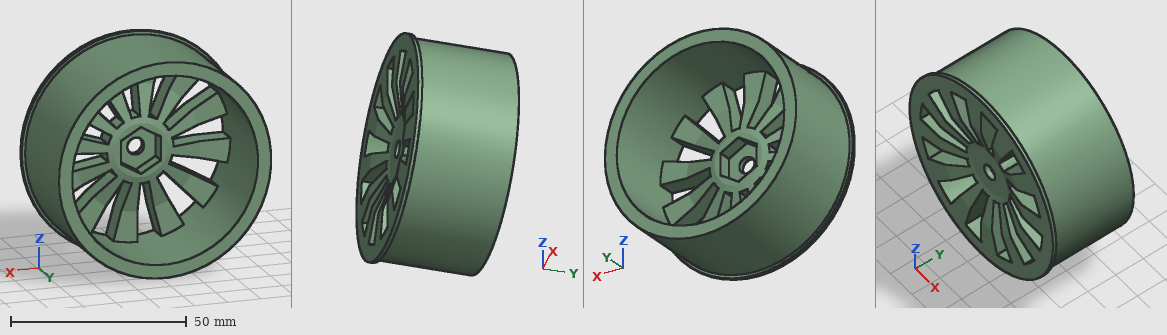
import cadquery as cq
import math

FLANGE_DIAMETER = 66.0
FLANGE_WIDTH = 1.2
BARREL_DIAMETER = 64.0
BARREL_BORE = 56.0
WHEEL_WIDTH = 30.0

HUB_FACE_DIAMETER = 16.0
DISH_DIAMETER = 38.0
DISH_DEPTH = 3.0
DISC_THICKNESS = 6.5
DISH_EDGE_RADIUS = 4.0

WINDOW_COUNT = 12
WINDOW_INNER_DIAMETER = 20.0
WINDOW_PITCH = 360.0 / WINDOW_COUNT
WINDOW_ANGLE = WINDOW_PITCH / 2
SEAM_ANGLE = -(WINDOW_PITCH - WINDOW_ANGLE) / 2

AXLE_DIAMETER = 5.0
AXLE_HOLE_DEPTH = 2.0
HEX_ACROSS_FLATS = 12.0

Y_AXIS = ((0, 0, 0), (0, 1, 0))


def make_rim():
    """Barrel with its front flange, as a revolved half section (radius, width)."""
    outline = [
        (BARREL_BORE / 2, 0),
        (FLANGE_DIAMETER / 2, 0),
        (FLANGE_DIAMETER / 2, FLANGE_WIDTH),
        (BARREL_DIAMETER / 2, FLANGE_WIDTH),
        (BARREL_DIAMETER / 2, WHEEL_WIDTH),
        (BARREL_BORE / 2, WHEEL_WIDTH),
    ]
    return cq.Workplane("XY").polyline(outline).close().revolve(360, *Y_AXIS)


def make_disc():
    """Dished disc of even thickness that fills the front of the barrel."""
    hub_radius = HUB_FACE_DIAMETER / 2
    dish_radius = DISH_DIAMETER / 2
    disc_radius = BARREL_BORE / 2
    hub_back = DISH_DEPTH + DISC_THICKNESS
    outline = [
        (0, DISH_DEPTH),
        (hub_radius, DISH_DEPTH),
        (dish_radius, 0),
        (disc_radius, 0),
        (disc_radius, DISC_THICKNESS),
        (dish_radius, DISC_THICKNESS),
        (hub_radius, hub_back),
        (0, hub_back),
    ]
    disc = cq.Workplane("XY").polyline(outline).close().revolve(360, *Y_AXIS)
    dish_edge = disc.edges(cq.selectors.RadiusNthSelector(1)).edges("<Y")
    disc = dish_edge.fillet(DISH_EDGE_RADIUS)
    return disc.rotate(*Y_AXIS, SEAM_ANGLE)


def polar(radius, angle):
    """Point in the wheel face at an angle in degrees from +X."""
    radians = math.radians(angle)
    return (radius * math.cos(radians), radius * math.sin(radians))


def make_window(start_angle):
    """Ring sector that reaches from the hub past the edge of the disc."""
    middle_angle = start_angle + WINDOW_ANGLE / 2
    end_angle = start_angle + WINDOW_ANGLE
    inner = WINDOW_INNER_DIAMETER / 2
    outer = BARREL_DIAMETER / 2
    return (
        cq.Workplane("XZ")
        .moveTo(*polar(inner, start_angle))
        .lineTo(*polar(outer, start_angle))
        .threePointArc(polar(outer, middle_angle), polar(outer, end_angle))
        .lineTo(*polar(inner, end_angle))
        .threePointArc(polar(inner, middle_angle), polar(inner, start_angle))
        .close()
        .extrude(-WHEEL_WIDTH)
    )


def cut_hub(body):
    """Axle hole through the hub face, opening into the hexagonal socket."""
    axle = cq.Workplane("XZ").circle(AXLE_DIAMETER / 2).extrude(-WHEEL_WIDTH)
    socket = (
        cq.Workplane("XZ", origin=(0, DISH_DEPTH + AXLE_HOLE_DEPTH, 0))
        .polygon(6, HEX_ACROSS_FLATS, circumscribed=True)
        .extrude(-WHEEL_WIDTH)
    )
    return body.cut(axle).cut(socket)


disc = cut_hub(make_disc())
for index in range(WINDOW_COUNT):
    disc = disc.cut(make_window(index * WINDOW_PITCH - WINDOW_ANGLE))

result = make_rim().union(disc)